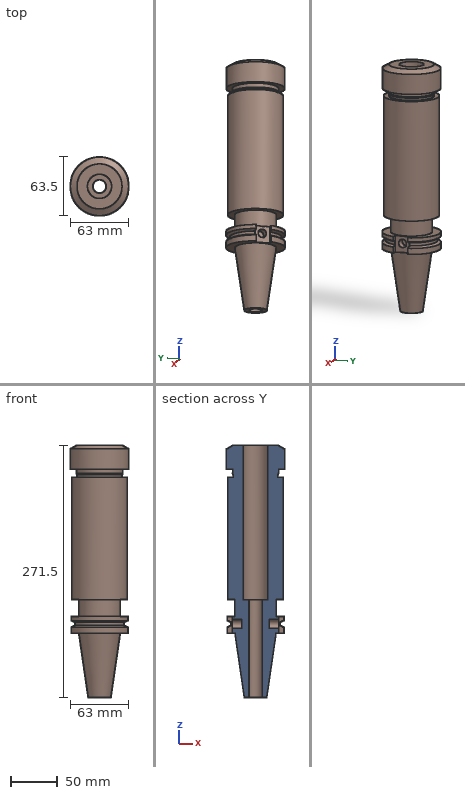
import cadquery as cq
import math

GAUGE_DIAMETER = 44.45
TAPER_LENGTH = 68.25
TAPER_RATIO = 7 / 24
PROJECTION = 203.2

FLANGE_DIAMETER = 63.5
FLANGE_BOTTOM_Z = 1.0
FLANGE_TOP_Z = 19.05
GROOVE_FLOOR_DIAMETER = 55.7
GROOVE_CENTRE_Z = 11.1
GROOVE_FLOOR_WIDTH = 3.4
GROOVE_SIDE_ANGLE = 26.0

SLOT_WIDTH = 17.0
SLOT_FLOOR_X = 25.0
DIMPLE_DIAMETER = 9.0
DIMPLE_DEPTH = 10.0

NECK_DIAMETER = 45.0
SLEEVE_DIAMETER = 60.0
SLEEVE_BOTTOM_Z = PROJECTION - 166.0
SLEEVE_TOP_Z = PROJECTION - 34.5

RELIEF_DIAMETER = 48.8
COLLAR_DIAMETER = 50.0
RELIEF_TOP_Z = PROJECTION - 32.0
COLLAR_BOTTOM_Z = PROJECTION - 30.5

NUT_DIAMETER = 63.0
NUT_FACE_DIAMETER = 48.4
NUT_HEIGHT = 26.2
NUT_BEVEL_HEIGHT = 4.2

COLLET_BORE_DIAMETER = 26.0
COLLET_BORE_BOTTOM_Z = SLEEVE_BOTTOM_Z
THROUGH_BORE_DIAMETER = 14.0


def cylinder(diameter, bottom_z, top_z):
    """Cylinder on the Z axis between two heights."""
    return cq.Workplane("XY").workplane(offset=bottom_z).circle(diameter / 2).extrude(top_z - bottom_z)


def turned_body():
    """Outer shape of the holder, revolved about Z from the small end up to the nut face."""
    small_end_diameter = GAUGE_DIAMETER - TAPER_LENGTH * TAPER_RATIO
    groove_depth = (FLANGE_DIAMETER - GROOVE_FLOOR_DIAMETER) / 2
    floor_half_width = GROOVE_FLOOR_WIDTH / 2
    mouth_half_width = floor_half_width + groove_depth * math.tan(math.radians(GROOVE_SIDE_ANGLE))
    nut_bottom_z = PROJECTION - NUT_HEIGHT
    bevel_bottom_z = PROJECTION - NUT_BEVEL_HEIGHT

    outline = [
        (small_end_diameter, -TAPER_LENGTH),
        (GAUGE_DIAMETER, 0),
        (GAUGE_DIAMETER, FLANGE_BOTTOM_Z),
        (FLANGE_DIAMETER, FLANGE_BOTTOM_Z),
        (FLANGE_DIAMETER, GROOVE_CENTRE_Z - mouth_half_width),
        (GROOVE_FLOOR_DIAMETER, GROOVE_CENTRE_Z - floor_half_width),
        (GROOVE_FLOOR_DIAMETER, GROOVE_CENTRE_Z + floor_half_width),
        (FLANGE_DIAMETER, GROOVE_CENTRE_Z + mouth_half_width),
        (FLANGE_DIAMETER, FLANGE_TOP_Z),
        (NECK_DIAMETER, FLANGE_TOP_Z),
        (NECK_DIAMETER, SLEEVE_BOTTOM_Z),
        (SLEEVE_DIAMETER, SLEEVE_BOTTOM_Z),
        (SLEEVE_DIAMETER, SLEEVE_TOP_Z),
        (RELIEF_DIAMETER, SLEEVE_TOP_Z),
        (RELIEF_DIAMETER, RELIEF_TOP_Z),
        (COLLAR_DIAMETER, COLLAR_BOTTOM_Z),
        (COLLAR_DIAMETER, nut_bottom_z),
        (NUT_DIAMETER, nut_bottom_z),
        (NUT_DIAMETER, bevel_bottom_z),
        (NUT_FACE_DIAMETER, PROJECTION),
    ]
    profile = [(0, -TAPER_LENGTH)]
    profile += [(diameter / 2, z) for diameter, z in outline]
    profile.append((0, PROJECTION))
    return cq.Workplane("XZ").polyline(profile).close().revolve(360, (0, 0), (0, 1))


def bores():
    """Collet bore from the nut face, continued by a smaller bore through the shank."""
    collet_bore = cylinder(COLLET_BORE_DIAMETER, COLLET_BORE_BOTTOM_Z, PROJECTION)
    through_bore = cylinder(THROUGH_BORE_DIAMETER, -TAPER_LENGTH, PROJECTION)
    return collet_bore.union(through_bore)


def drive_slot():
    """Cutter for the +X drive slot with the round dimple in its floor."""
    slot_depth = FLANGE_DIAMETER / 2 - SLOT_FLOOR_X
    slot_height = FLANGE_TOP_Z - FLANGE_BOTTOM_Z
    slot = (
        cq.Workplane("XY")
        .box(slot_depth, SLOT_WIDTH, slot_height, centered=(False, True, False))
        .translate((SLOT_FLOOR_X, 0, FLANGE_BOTTOM_Z))
    )
    dimple = (
        cq.Workplane("YZ")
        .workplane(offset=SLOT_FLOOR_X - DIMPLE_DEPTH)
        .center(0, GROOVE_CENTRE_Z)
        .circle(DIMPLE_DIAMETER / 2)
        .extrude(DIMPLE_DEPTH + slot_depth)
    )
    return slot.union(dimple)


result = turned_body().cut(bores())
for slot_angle in (0, 180):
    result = result.cut(drive_slot().rotate((0, 0, 0), (0, 0, 1), slot_angle))